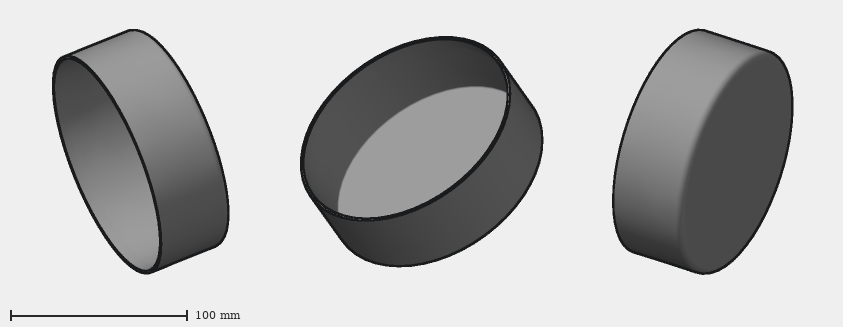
import cadquery as cq

height = 44.5
rim_diameter = 131.7
closed_end_diameter = 131.6
closed_edge_radius = 4.0

mouth_diameter = 128.5
mouth_depth = 7.2
bore_floor_diameter = 125.5
floor_thickness = 2.6
floor_edge_radius = 0.99

open_face_y = -height / 2
closed_face_y = height / 2
mouth_end_y = open_face_y + mouth_depth
floor_y = closed_face_y - floor_thickness


def round_body(start_y, start_diameter, end_y, end_diameter):
    """Cylinder or cone on the Y axis between two positions."""
    half_profile = [
        (0, start_y),
        (start_diameter / 2, start_y),
        (end_diameter / 2, end_y),
        (0, end_y),
    ]
    return cq.Workplane("XY").polyline(half_profile).close().revolve(360, (0, 0), (0, 1))


shell = round_body(open_face_y, rim_diameter, closed_face_y, closed_end_diameter)
shell = shell.faces(">Y").edges().fillet(closed_edge_radius)

mouth = round_body(open_face_y, mouth_diameter, mouth_end_y, mouth_diameter)
bore = round_body(mouth_end_y, mouth_diameter, floor_y, bore_floor_diameter)
bore = bore.faces(">Y").edges().fillet(floor_edge_radius)

result = shell.cut(mouth).cut(bore)